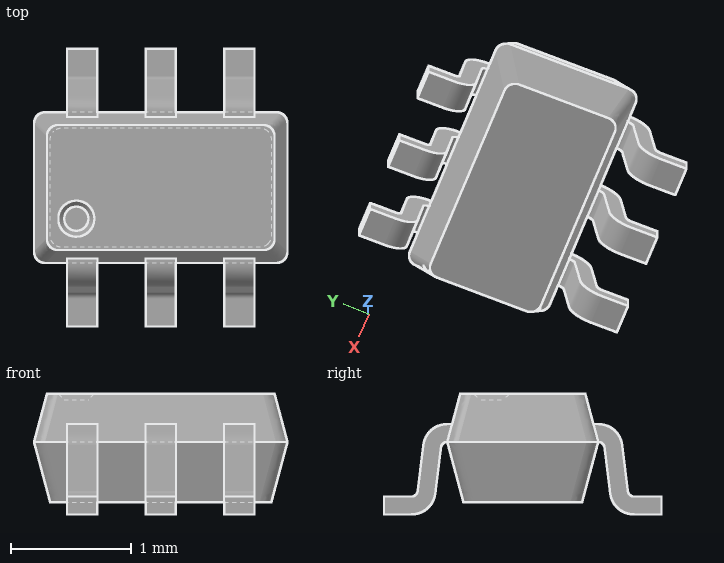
import cadquery as cq
import math

body_length = 2.1
body_width = 1.251
body_bottom = 0.101
parting_height = 0.6
body_top = 1.0
draft_angle = 15
corner_radius = 0.1

lead_count = 3
lead_pitch = 0.65
lead_width = 0.25
lead_thickness = 0.15
lead_span = 2.3
leg_lean = 7
bend_inner_radius = 0.05
bend_outer_radius = bend_inner_radius + lead_thickness
lead_embed = 0.2

dimple_x = -0.7
dimple_y = -0.258
dimple_diameter = 0.3
dimple_floor_diameter = 0.2
dimple_depth = 0.05


def body_half(end_height):
    """Frustum from the parting plane to end_height, with rounded corner edges."""
    rise = end_height - parting_height
    inset = abs(rise) * math.tan(math.radians(draft_angle))
    half = (
        cq.Workplane("XY", origin=(0, 0, parting_height))
        .rect(body_length, body_width)
        .workplane(offset=rise)
        .rect(body_length - 2 * inset, body_width - 2 * inset)
        .loft(ruled=True)
    )
    return half.edges("not(#Z)").fillet(corner_radius)


def arc_point(center, radius, angle):
    """Point on a circle at an angle in degrees."""
    turn = math.radians(angle)
    return (center[0] + radius * math.cos(turn), center[1] + radius * math.sin(turn))


def lead(x, side):
    """S-shaped lead centred on x; side is +1 or -1 along Y."""
    shoulder = (body_width / 2, parting_height - bend_inner_radius)
    ankle_height = lead_thickness + bend_inner_radius
    lean = math.radians(leg_lean)
    drop = shoulder[1] - ankle_height
    radius_sum = bend_outer_radius + bend_inner_radius
    ankle = (
        shoulder[0] + (radius_sum + drop * math.sin(lean)) / math.cos(lean),
        ankle_height,
    )

    root = shoulder[0] - lead_embed
    toe = lead_span / 2
    shoulder_mid = (90 + leg_lean) / 2
    ankle_mid = shoulder_mid + 180
    ankle_start = leg_lean + 180

    profile = (
        cq.Workplane("YZ", origin=(x - lead_width / 2, 0, 0))
        .moveTo(root, parting_height)
        .lineTo(root, parting_height + lead_thickness)
        .lineTo(*arc_point(shoulder, bend_outer_radius, 90))
        .threePointArc(
            arc_point(shoulder, bend_outer_radius, shoulder_mid),
            arc_point(shoulder, bend_outer_radius, leg_lean),
        )
        .lineTo(*arc_point(ankle, bend_inner_radius, ankle_start))
        .threePointArc(
            arc_point(ankle, bend_inner_radius, ankle_mid),
            arc_point(ankle, bend_inner_radius, 270),
        )
        .lineTo(toe, lead_thickness)
        .lineTo(toe, 0)
        .lineTo(*arc_point(ankle, bend_outer_radius, 270))
        .threePointArc(
            arc_point(ankle, bend_outer_radius, ankle_mid),
            arc_point(ankle, bend_outer_radius, ankle_start),
        )
        .lineTo(*arc_point(shoulder, bend_inner_radius, leg_lean))
        .threePointArc(
            arc_point(shoulder, bend_inner_radius, shoulder_mid),
            arc_point(shoulder, bend_inner_radius, 90),
        )
        .close()
    )
    solid = profile.extrude(lead_width)
    return solid if side > 0 else solid.mirror("XZ")


def dimple():
    """Cone frustum that narrows downward from the top face."""
    cone = cq.Solid.makeCone(dimple_floor_diameter / 2, dimple_diameter / 2, dimple_depth)
    return cone.translate(cq.Vector(dimple_x, dimple_y, body_top - dimple_depth))


result = body_half(body_top).union(body_half(body_bottom))

for index in range(lead_count):
    lead_x = (index - (lead_count - 1) / 2) * lead_pitch
    for side in (-1, 1):
        result = result.union(lead(lead_x, side))

result = result.cut(dimple())